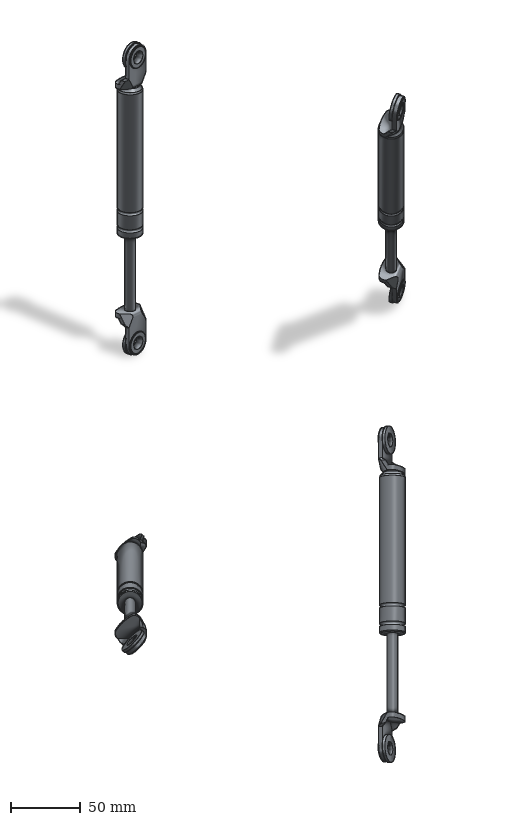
import cadquery as cq

TOTAL_LENGTH = 245.0

CYLINDER_RADIUS = 9.3
CYLINDER_BOTTOM = 93.5
CYLINDER_TOP = 208.7
TOP_CHAMFER_WIDTH = 0.5
TOP_CHAMFER_HEIGHT = 1.5
BOTTOM_CHAMFER = 0.7
NECK_RADIUS = 6.9
GROOVE_CENTRES = (113.2, 99.7)
GROOVE_HALF_WIDTH = 1.2
GROOVE_DEPTH = 1.0

ROD_RADIUS = 4.0

FOOT_SEAT = 211.0
FOOT_THICKNESS = 3.7
FOOT_FRONT_X = -7.5
FOOT_ARC_END_X = -6.5
FOOT_ARC_END_Y = 7.8
FOOT_CORNER_X = -5.5
FOOT_CORNER_Y = 9.8
FOOT_FLANK_X = -1.5
FOOT_HALF_WIDTH = 11.0
FOOT_BACK_HALF_WIDTH = 10.5
PLATE_FRONT_X = 4.0
PLATE_BACK_X = 7.0
PLATE_HALF_WIDTH = 9.3
BEND_RADIUS = 3.0
SHOULDER_RISE = 3.5
TAPER_RISE = 6.0

GUSSET_START_X = -1.5
GUSSET_DROP = 5.5
GUSSET_SLOPE = 1.6

FLANGE_RADIUS = 10.0
FLANGE_FRONT_X = 1.7
SLEEVE_RADIUS = 8.5
SLEEVE_BACK_X = 7.8
SLEEVE_CHAMFER = 0.5
EYE_RADIUS = 5.0

FOOT_INNER = FOOT_SEAT + FOOT_THICKNESS
EYE_HEIGHT = TOTAL_LENGTH - FLANGE_RADIUS


def make_cylinder():
    """Turned cylinder with two round-bottomed grooves and a conical neck under the upper foot."""
    profile = (
        cq.Workplane("XZ")
        .moveTo(0, CYLINDER_BOTTOM)
        .lineTo(CYLINDER_RADIUS - BOTTOM_CHAMFER, CYLINDER_BOTTOM)
        .lineTo(CYLINDER_RADIUS, CYLINDER_BOTTOM + BOTTOM_CHAMFER)
    )
    for centre in sorted(GROOVE_CENTRES):
        profile = profile.lineTo(CYLINDER_RADIUS, centre - GROOVE_HALF_WIDTH).threePointArc(
            (CYLINDER_RADIUS - GROOVE_DEPTH, centre),
            (CYLINDER_RADIUS, centre + GROOVE_HALF_WIDTH),
        )
    return (
        profile.lineTo(CYLINDER_RADIUS, CYLINDER_TOP - TOP_CHAMFER_HEIGHT)
        .lineTo(CYLINDER_RADIUS - TOP_CHAMFER_WIDTH, CYLINDER_TOP)
        .lineTo(NECK_RADIUS, FOOT_SEAT)
        .lineTo(0, FOOT_SEAT)
        .close()
        .revolve(360, (0, 0, 0), (0, 1, 0))
    )


def make_rod():
    """Plain rod between the lower foot and the cylinder."""
    foot_seat = TOTAL_LENGTH - FOOT_SEAT
    length = CYLINDER_BOTTOM - foot_seat
    return cq.Workplane("XY").workplane(offset=foot_seat).circle(ROD_RADIUS).extrude(length)


def foot_outline():
    """Plan shape of the foot, with a bowed front edge and rounded front corners."""
    return (
        cq.Workplane("XY")
        .workplane(offset=FOOT_SEAT)
        .moveTo(PLATE_BACK_X, -FOOT_BACK_HALF_WIDTH)
        .lineTo(FOOT_FLANK_X, -FOOT_HALF_WIDTH)
        .threePointArc((FOOT_CORNER_X, -FOOT_CORNER_Y), (FOOT_ARC_END_X, -FOOT_ARC_END_Y))
        .threePointArc((FOOT_FRONT_X, 0), (FOOT_ARC_END_X, FOOT_ARC_END_Y))
        .threePointArc((FOOT_CORNER_X, FOOT_CORNER_Y), (FOOT_FLANK_X, FOOT_HALF_WIDTH))
        .lineTo(PLATE_BACK_X, FOOT_BACK_HALF_WIDTH)
        .close()
    )


def plate_outline():
    """Shape of the bracket across X: wide base, tapered shoulders and round eye end."""
    shoulder = FOOT_INNER + SHOULDER_RISE
    taper_end = FOOT_INNER + TAPER_RISE
    return (
        cq.Workplane("YZ")
        .workplane(offset=FOOT_FRONT_X)
        .moveTo(-FOOT_HALF_WIDTH, FOOT_SEAT)
        .lineTo(FOOT_HALF_WIDTH, FOOT_SEAT)
        .lineTo(FOOT_HALF_WIDTH, shoulder)
        .lineTo(PLATE_HALF_WIDTH, taper_end)
        .lineTo(PLATE_HALF_WIDTH, EYE_HEIGHT)
        .threePointArc((0, EYE_HEIGHT + PLATE_HALF_WIDTH), (-PLATE_HALF_WIDTH, EYE_HEIGHT))
        .lineTo(-PLATE_HALF_WIDTH, taper_end)
        .lineTo(-FOOT_HALF_WIDTH, shoulder)
        .close()
    )


def corner_tetrahedron(corner_x, corner_z, offset, side):
    """Space at one bend corner, outside (+X, -Z) a face sloping in X, Y and Z.

    The sloping face is z = slope * (x + y - start), moved down by the offset.
    The apex is the point (corner_x, outer width, corner_z).
    """
    start = GUSSET_START_X + FOOT_HALF_WIDTH
    reach = corner_x + FOOT_HALF_WIDTH - start - (corner_z - FOOT_INNER + offset) / GUSSET_SLOPE
    y = FOOT_HALF_WIDTH
    apex = cq.Vector(corner_x, side * y, corner_z)
    along_x = cq.Vector(corner_x - reach, side * y, corner_z)
    along_y = cq.Vector(corner_x, side * (y - reach), corner_z)
    along_z = cq.Vector(corner_x, side * y, corner_z + GUSSET_SLOPE * reach)
    corners = [
        (apex, along_x, along_y),
        (apex, along_y, along_z),
        (apex, along_z, along_x),
        (along_x, along_z, along_y),
    ]
    faces = [cq.Face.makeFromWires(cq.Wire.makePolygon(points, close=True)) for points in corners]
    return cq.Workplane(cq.Solid.makeSolid(cq.Shell.makeShell(faces)))


def sheet_block(back_x, bottom):
    """Full-width block from the foot's front edge back to back_x, and from bottom to the top."""
    block = cq.Workplane("XY").box(
        back_x - FOOT_FRONT_X, 2 * FOOT_HALF_WIDTH, TOTAL_LENGTH - bottom, centered=(False, True, False)
    )
    return block.translate((FOOT_FRONT_X, 0, bottom))


def make_bracket():
    """Upper bracket: L-shaped sheet with diagonal corners and a hole for its bushing."""
    foot = foot_outline().extrude(TOTAL_LENGTH - FOOT_SEAT)
    envelope = plate_outline().extrude(PLATE_BACK_X - FOOT_FRONT_X).intersect(foot)
    inner_space = sheet_block(PLATE_FRONT_X, FOOT_INNER)
    outer_dents = []
    for side in (-1, 1):
        inner_space = inner_space.cut(corner_tetrahedron(PLATE_FRONT_X, FOOT_INNER, 0, side))
        outer_dents.append(corner_tetrahedron(PLATE_BACK_X, FOOT_SEAT, GUSSET_DROP, side))
    bend = sheet_block(PLATE_BACK_X, FOOT_SEAT).edges(">X and <Z").fillet(BEND_RADIUS)
    bracket = envelope.intersect(bend).cut(inner_space)
    for dent in outer_dents:
        bracket = bracket.cut(dent)
    hole = (
        cq.Workplane("YZ")
        .workplane(offset=PLATE_FRONT_X)
        .center(0, EYE_HEIGHT)
        .circle(SLEEVE_RADIUS)
        .extrude(PLATE_BACK_X - PLATE_FRONT_X)
    )
    return bracket.cut(hole)


def make_bushing():
    """Upper bushing: flange against the plate and a sleeve through it."""
    sleeve = (
        cq.Workplane("YZ")
        .workplane(offset=FLANGE_FRONT_X)
        .center(0, EYE_HEIGHT)
        .circle(SLEEVE_RADIUS)
        .extrude(SLEEVE_BACK_X - FLANGE_FRONT_X)
        .faces(">X")
        .chamfer(SLEEVE_CHAMFER)
    )
    flange = (
        cq.Workplane("YZ")
        .workplane(offset=FLANGE_FRONT_X)
        .center(0, EYE_HEIGHT)
        .circle(FLANGE_RADIUS)
        .extrude(PLATE_FRONT_X - FLANGE_FRONT_X)
    )
    body = sleeve.union(flange)
    return body.faces("<X").workplane(origin=(0, 0, EYE_HEIGHT)).circle(EYE_RADIUS).cutThruAll()


def both_ends(upper):
    """The upper part and its mirror copy at the lower end, as separate solids."""
    solids = []
    for at_lower_end in (False, True):
        placed = upper
        if at_lower_end:
            placed = upper.mirror("XY", (0, 0, TOTAL_LENGTH / 2))
        solids.append(placed.val())
    return solids


cylinder = make_cylinder()
rod = make_rod()
brackets = both_ends(make_bracket())
bushings = both_ends(make_bushing())

result = cq.Compound.makeCompound([cylinder.val(), rod.val(), *brackets, *bushings])